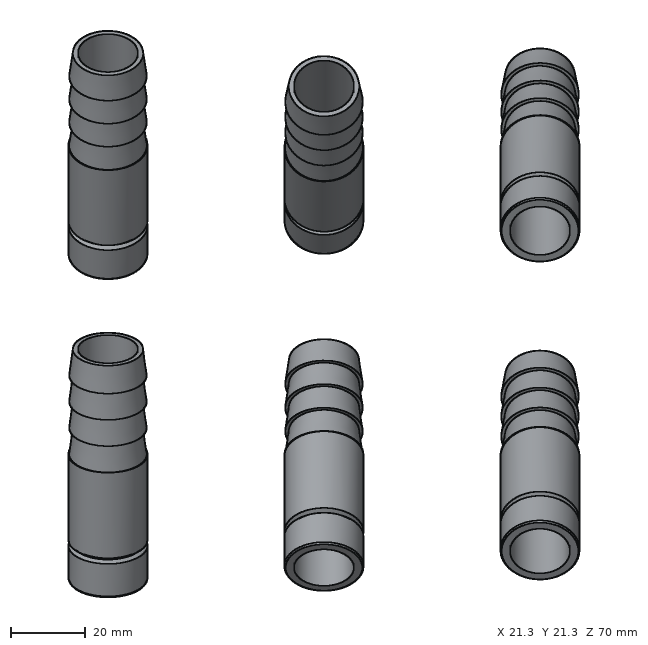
import cadquery as cq

total_length = 70.0
body_radius = 10.65
bore_radius = 8.05
end_chamfer_width = 0.35
end_chamfer_height = 0.5

barb_count = 4
barb_pitch = 8.0
barb_tip_radius = 9.45
barb_base_radius = 10.4
body_top = total_length - barb_count * barb_pitch

groove_center = 11.2
groove_mouth_width = 1.7
groove_floor_width = 0.4
groove_floor_radius = 9.4


def body_outline():
    """Radius and height points from the bottom end up to the body shoulder."""
    half_mouth = groove_mouth_width / 2
    half_floor = groove_floor_width / 2
    return [
        (bore_radius, 0),
        (body_radius - end_chamfer_width, 0),
        (body_radius, end_chamfer_height),
        (body_radius, groove_center - half_mouth),
        (groove_floor_radius, groove_center - half_floor),
        (groove_floor_radius, groove_center + half_floor),
        (body_radius, groove_center + half_mouth),
        (body_radius, body_top),
    ]


def barb_outline():
    """Each barb starts wide and tapers upward to its tip."""
    points = []
    for index in range(barb_count):
        barb_bottom = body_top + index * barb_pitch
        points.append((barb_base_radius, barb_bottom))
        points.append((barb_tip_radius, barb_bottom + barb_pitch))
    return points


wall_section = body_outline() + barb_outline() + [(bore_radius, total_length)]
result = (
    cq.Workplane("XZ")
    .polyline(wall_section)
    .close()
    .revolve(360, (0, 0, 0), (0, 1, 0))
)